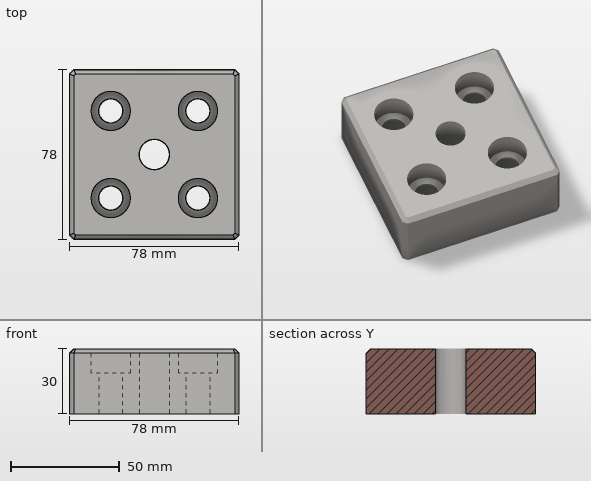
import cadquery as cq

side = 78.0
height = 30.0
chamfer = 2.0

center_hole_diameter = 13.8

bolt_spacing = 40.0
bolt_hole_diameter = 11.0
counterbore_diameter = 18.0
counterbore_depth = 11.0

block = (
    cq.Workplane("XY")
    .box(side, side, height, centered=(True, True, False))
    .edges("|Z")
    .chamfer(chamfer)
    .faces(">Z")
    .edges()
    .chamfer(chamfer)
)

block = block.faces(">Z").workplane(origin=(0, 0, height)).hole(center_hole_diameter)

result = (
    block.faces(">Z")
    .workplane(origin=(0, 0, height))
    .rarray(bolt_spacing, bolt_spacing, 2, 2)
    .cboreHole(bolt_hole_diameter, counterbore_diameter, counterbore_depth)
)